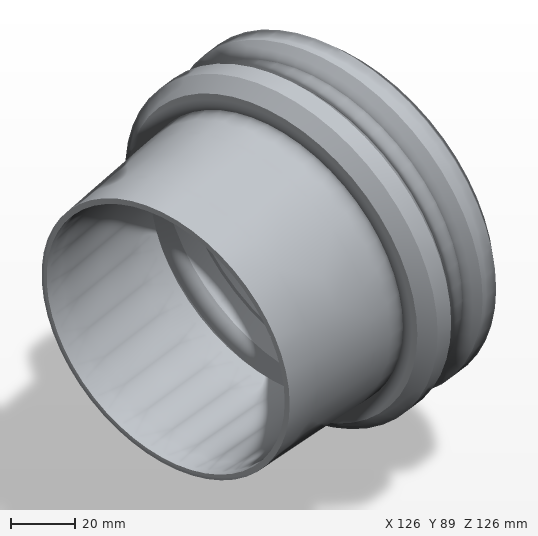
import cadquery as cq

total_length = 89.0
wall = 2.0

ridge_diameter = 126.0
groove_diameter = 117.0
ridge_width = 6.5
groove_width = 6.3

spigot_root_diameter = 105.5
spigot_tip_diameter = 100.0

ridge_radius = ridge_diameter / 2
groove_radius = groove_diameter / 2
bevel = ridge_radius - groove_radius


def ridge_outline(front_y):
    """Outline of one ridge, as (radius, y), from its front foot to its rear foot."""
    flat_start = front_y + bevel
    flat_end = flat_start + ridge_width
    return [
        (groove_radius, front_y),
        (ridge_radius, flat_start),
        (ridge_radius, flat_end),
        (groove_radius, flat_end + bevel),
    ]


ridge_length = ridge_width + 2 * bevel
rear_ridge_y = total_length - ridge_length
front_ridge_y = rear_ridge_y - groove_width - ridge_length

outline = [
    (0, 0),
    (spigot_tip_diameter / 2, 0),
    (spigot_root_diameter / 2, front_ridge_y),
    *ridge_outline(front_ridge_y),
    *ridge_outline(rear_ridge_y),
    (0, total_length),
]

body = cq.Workplane("XY").polyline(outline).close().revolve(360, (0, 0, 0), (0, 1, 0))

result = body.faces("<Y or >Y").shell(-wall, kind="intersection")